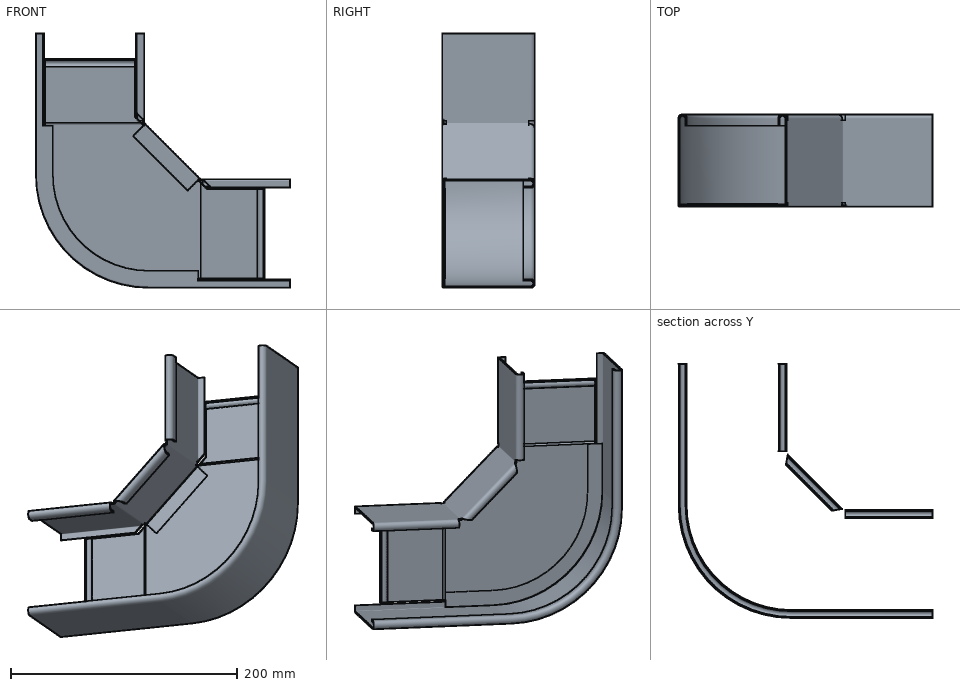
import cadquery as cq
import math

SIZE = 225.0
DEPTH = 82.0
SHEET = 1.4
PLATE_SHEET = 1.01
DUCT = 96.0
ELBOW_RADIUS = 100.0
CORNER = 145.5

BEND_INSIDE = 0.5
BEND_OUTSIDE = BEND_INSIDE + SHEET
HOOK_RADIUS = 3.8
HOOK_LENGTH = 10.1
OUTER_LIP = 6.5
INNER_LIP = 7.0
FLANGE = 15.0
FLANGE_END = 143.5

ARM_START = 147.5
CORNER_BEND = 1.0
DIAGONAL_GAP = 1.0
HOOK_SLANT = 35
FRONT_RELIEF = 3.5
BACK_RELIEF = 5.2

JOGGLE_START = 144.0
JOGGLE_END = 146.0
JOGGLE_BEND = 0.7
JOGGLE_BEND_RISE = 0.2
TONGUE_FRONT = 0.5
TONGUE_END = 202.5
TONGUE_OUTER_EDGE = 8.3
TONGUE_INNER_EDGE = 87.5
GROOVE_START = 195.8
GROOVE_END = 201.2
GROOVE_FLANK = 1.4
GROOVE_FLANK_DEPTH = 1.0
GROOVE_DEPTH = 1.28

HALF_SQRT = math.sqrt(0.5)
PLATE_DIAGONAL_SUM = DUCT + CORNER - BEND_OUTSIDE / HALF_SQRT
DIAGONAL_LENGTH = (CORNER - DUCT) / HALF_SQRT


def swap_arms(body):
    """Mirror a body so that the upright arm becomes the level arm."""
    return body.mirror(cq.Vector(1, 0, -1))


def plate_prism(points, y_front, y_back):
    """Extrude an X-Z outline from y_front to y_back."""
    outline = cq.Workplane("XZ", origin=(0, y_front, 0)).polyline(points).close()
    return outline.extrude(y_front - y_back)


def wall_section(plane, lip):
    """Section across a wall: local x runs into the duct, local y from front to back."""
    hook_base = DEPTH - HOOK_RADIUS
    hook_tip = DEPTH - HOOK_LENGTH
    hook_outside = 2 * HOOK_RADIUS
    hook_inside = hook_outside - SHEET
    return (
        cq.Workplane(plane)
        .moveTo(lip, 0)
        .lineTo(BEND_OUTSIDE, 0)
        .radiusArc((0, BEND_OUTSIDE), BEND_OUTSIDE)
        .lineTo(0, hook_base)
        .threePointArc((HOOK_RADIUS, DEPTH), (hook_outside, hook_base))
        .lineTo(hook_outside, hook_tip)
        .lineTo(hook_inside, hook_tip)
        .lineTo(hook_inside, hook_base)
        .threePointArc((HOOK_RADIUS, DEPTH - SHEET), (SHEET, hook_base))
        .lineTo(SHEET, BEND_OUTSIDE)
        .radiusArc((BEND_OUTSIDE, SHEET), -BEND_INSIDE)
        .lineTo(lip, SHEET)
        .close()
    )


def elbow_outline(inset, end):
    """Outline from the elbow's outer face, moved in by inset, square across at end."""
    radius = ELBOW_RADIUS - inset
    middle = ELBOW_RADIUS - radius * HALF_SQRT
    return (
        cq.Workplane("XZ")
        .moveTo(end, end)
        .lineTo(inset, end)
        .lineTo(inset, ELBOW_RADIUS)
        .threePointArc((middle, middle), (ELBOW_RADIUS, inset))
        .lineTo(end, inset)
        .close()
    )


def make_outer_wall():
    section_plane = cq.Plane((0, 0, ELBOW_RADIUS), xDir=(1, 0, 0), normal=(0, 0, 1))
    arm = wall_section(section_plane, OUTER_LIP).extrude(SIZE - ELBOW_RADIUS)
    bend = wall_section(section_plane, OUTER_LIP).revolve(
        90, (ELBOW_RADIUS, 0), (ELBOW_RADIUS, -1)
    )
    wide_flange = (
        elbow_outline(BEND_OUTSIDE, FLANGE_END)
        .extrude(-SHEET)
        .cut(elbow_outline(FLANGE, SIZE).extrude(-SHEET))
    )
    return arm.union(bend).union(swap_arms(arm)).union(wide_flange)


def make_inner_arm():
    """Upright arm of the inner wall, its lip mitred towards the diagonal."""
    section_plane = cq.Plane((DUCT, 0, SIZE), xDir=(-1, 0, 0), normal=(0, 0, -1))
    arm = wall_section(section_plane, INNER_LIP).extrude(SIZE - ARM_START)
    lip_mitre = plate_prism(
        [
            (DUCT, ARM_START),
            (DUCT - INNER_LIP, ARM_START),
            (DUCT - INNER_LIP, ARM_START + INNER_LIP),
        ],
        0,
        BEND_OUTSIDE,
    )
    return arm.cut(lip_mitre)


def make_diagonal():
    """Diagonal of the inner wall with its hook and the flap that holds the base plate."""
    along = cq.Vector(HALF_SQRT, 0, -HALF_SQRT)
    start = cq.Vector(DUCT, 0, CORNER) + along * DIAGONAL_GAP
    section_plane = cq.Plane(start, xDir=(-1, 0, -1), normal=along)
    diagonal = wall_section(section_plane, FLANGE).extrude(DIAGONAL_LENGTH - 2 * DIAGONAL_GAP)
    hook_width = 2 * HOOK_RADIUS
    cut_back = hook_width * math.tan(math.radians(HOOK_SLANT))
    hook_plane = cq.Plane(start + cq.Vector(0, DEPTH, 0), xDir=(-1, 0, -1), normal=(0, -1, 0))
    hook_end = (
        cq.Workplane(hook_plane)
        .polyline([(0, 0), (hook_width, 0), (hook_width, cut_back)])
        .close()
        .extrude(HOOK_LENGTH)
    )
    return diagonal.cut(hook_end).cut(swap_arms(hook_end))


def make_bend_web():
    """Plain strip of the inner wall that carries on through both bends."""
    bend_shift = SHEET * math.tan(math.pi / 8)
    inner_face = DUCT - SHEET
    inner_corner = CORNER - bend_shift
    web = plate_prism(
        [
            (DUCT, SIZE),
            (DUCT, CORNER),
            (CORNER, DUCT),
            (SIZE, DUCT),
            (SIZE, inner_face),
            (inner_corner, inner_face),
            (inner_face, inner_corner),
            (inner_face, SIZE),
        ],
        FRONT_RELIEF,
        DEPTH - BACK_RELIEF,
    )
    outer_bend = (DUCT, CORNER, CORNER_BEND)
    inner_bend = (inner_face, inner_corner, CORNER_BEND + SHEET)
    for x, z, radius in (outer_bend, inner_bend):
        for bend_x, bend_z in ((x, z), (z, x)):
            edge = cq.selectors.NearestToPointSelector((bend_x, DEPTH / 2, bend_z))
            web = web.edges("|Y").edges(edge).fillet(radius)
    return web


def make_inner_wall():
    arm = make_inner_arm()
    return make_bend_web().union(arm).union(swap_arms(arm)).union(make_diagonal())


def make_tongue():
    """Upright tongue: steps forward from the plate and has a groove near its end."""
    groove_middle = (GROOVE_START + GROOVE_END) / 2
    flank_start = GROOVE_START + GROOVE_FLANK
    flank_end = GROOVE_END - GROOVE_FLANK
    bend_end = JOGGLE_START + JOGGLE_BEND
    back = TONGUE_FRONT + PLATE_SHEET
    plate_back = SHEET + PLATE_SHEET
    section = (
        cq.Workplane("YZ", origin=(TONGUE_OUTER_EDGE, 0, 0))
        .moveTo(SHEET, FLANGE_END)
        .lineTo(SHEET, JOGGLE_START)
        .tangentArcPoint((SHEET - JOGGLE_BEND_RISE, bend_end), relative=False)
        .lineTo(TONGUE_FRONT, JOGGLE_END)
        .lineTo(TONGUE_FRONT, GROOVE_START)
        .lineTo(TONGUE_FRONT + GROOVE_FLANK_DEPTH, flank_start)
        .threePointArc(
            (TONGUE_FRONT + GROOVE_DEPTH, groove_middle),
            (TONGUE_FRONT + GROOVE_FLANK_DEPTH, flank_end),
        )
        .lineTo(TONGUE_FRONT, GROOVE_END)
        .lineTo(TONGUE_FRONT, TONGUE_END)
        .lineTo(back, TONGUE_END)
        .lineTo(back, GROOVE_END)
        .lineTo(back + GROOVE_FLANK_DEPTH, flank_end)
        .threePointArc(
            (back + GROOVE_DEPTH, groove_middle), (back + GROOVE_FLANK_DEPTH, flank_start)
        )
        .lineTo(back, GROOVE_START)
        .lineTo(back, JOGGLE_END)
        .lineTo(plate_back - JOGGLE_BEND_RISE, bend_end)
        .lineTo(plate_back, JOGGLE_START)
        .lineTo(plate_back, FLANGE_END)
        .close()
    )
    tongue_face = plate_prism(
        [
            (TONGUE_OUTER_EDGE, FLANGE_END),
            (PLATE_DIAGONAL_SUM - FLANGE_END, FLANGE_END),
            (TONGUE_INNER_EDGE, PLATE_DIAGONAL_SUM - TONGUE_INNER_EDGE),
            (TONGUE_INNER_EDGE, TONGUE_END),
            (TONGUE_OUTER_EDGE, TONGUE_END),
        ],
        0,
        DEPTH,
    )
    return section.extrude(DUCT).intersect(tongue_face)


def make_base_plate():
    """Plate behind the wide flange and the flap, with a tongue into each arm."""
    edge = PLATE_DIAGONAL_SUM - FLANGE_END
    inner_corner = plate_prism(
        [(edge, FLANGE_END), (FLANGE_END, FLANGE_END), (FLANGE_END, edge)], 0, DEPTH
    )
    plate = (
        elbow_outline(BEND_OUTSIDE, FLANGE_END)
        .extrude(-PLATE_SHEET)
        .translate((0, SHEET, 0))
        .cut(inner_corner)
    )
    tongue = make_tongue()
    return plate.union(tongue).union(swap_arms(tongue))


outer_wall = make_outer_wall()
inner_wall = make_inner_wall()
base_plate = make_base_plate()

result = cq.Compound.makeCompound([body.solids().val() for body in (outer_wall, inner_wall, base_plate)])